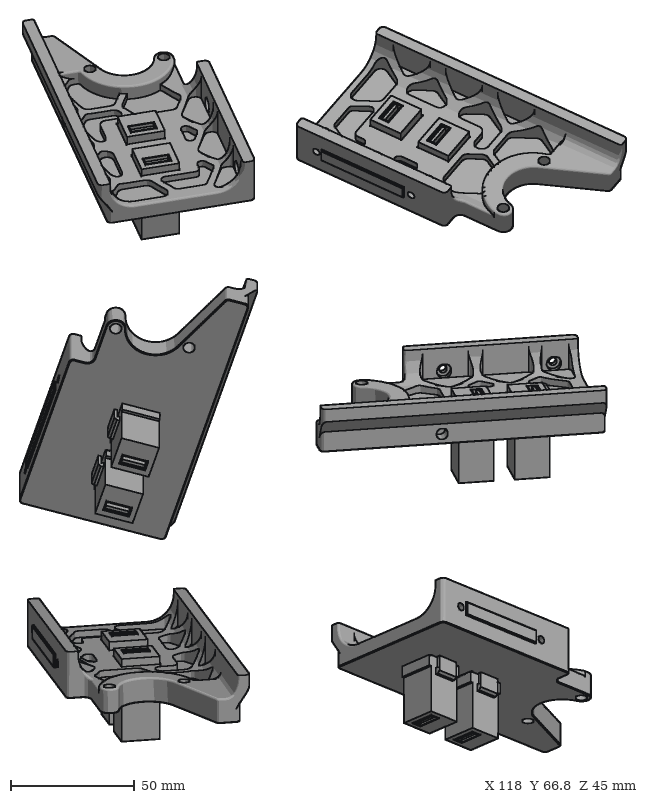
import cadquery as cq
import math

LENGTH = 118.0
WIDTH = 66.0
HEIGHT = 20.0
WALL = 5.1
FLOOR_TOP = 7.0
RAISED_TOP = 10.5
TROUGH_RADIUS = 10.9
ARM_BLEND = 4.5
BLEND_OVERLAP = 1.2
BACK_WALL_START = 45.9
BACK_STEP_RADIUS = 3.2
CORNER_RADIUS = 1.9
RIM_RADIUS = 1.0
BOTTOM_CHAMFER = 0.4

UNDERCUT = 3.9
UNDERCUT_LOW = 8.7
UNDERCUT_HIGH = 14.5

RING_X, RING_Y = 22.3, 36.9
RING_INNER = 12.2
RING_OUTER = 20.5
NOSE_RADIUS = 4.0
EAR_HOLE_DX = 4.4
EAR_HOLE_DIAMETER = 4.7
ARM_CORNER_Y = 13.5
ARM_END = 26.9
ARM_CORNER_FILLET = 1.1

ear_distance = RING_INNER + NOSE_RADIUS
ear_dy = math.sqrt(ear_distance**2 - EAR_HOLE_DX**2)
ear_x = RING_X + EAR_HOLE_DX
nose_y = RING_Y + ear_dy
back_step_y = nose_y + NOSE_RADIUS
front_face = WALL
back_face = WIDTH - WALL

HEX_FLAT = 22.0
HEX_PITCH = 25.0
HEX_X, HEX_Y = 50.4, 40.8
POCKET_RADIUS = 3.0
SMALL_POCKET_RADIUS = 2.0
CRAMPED_POCKETS = ((1, 0), (2, 0), (2, 1))
POCKET_WALL_OVERRUN = 0.4
POCKET_FLOOR = 4.1
POCKET_RIGHT = 114.8
PAD_LEFT, PAD_RIGHT = 58.0, 101.7
PAD_FRONT, PAD_BACK = 16.4, 47.3
hex_row_pitch = HEX_PITCH * math.sqrt(3) / 2
hex_corner_diameter = HEX_FLAT * 2 / math.sqrt(3)

SCREW_X = (62.4, 107.9)
SCREW_Z = 9.9
SCREW_DIAMETER = 3.2
SCREW_HEAD_DIAMETER = 6.0
SCREW_HEAD_DEPTH = 2.4
LABEL_LENGTH, LABEL_HEIGHT, LABEL_THICKNESS = 39.5, 5.9, 0.8
LABEL_X = 85.5
LABEL_CHAMFER = 0.4
FRONT_HOLE_X, FRONT_HOLE_Z = HEX_X, 4.4
FRONT_HOLE_DIAMETER = 4.7
FRONT_HOLE_DEPTH = 5.9

INSERT_WIDTH, INSERT_DEPTH = 14.5, 15.9
INSERT_TOP, INSERT_BOTTOM = 10.3, -25.0
INSERT_CORNERS = ((61.1, 23.6), (84.3, 23.4))
SHOULDER_OVERHANG, SHOULDER_HEIGHT = 1.1, 4.7
WINDOW_FRONT, WINDOW_BACK = 23.1, 39.5
WINDOW_SPANS = ((61.1, 76.2), (83.7, 98.8))
LATCH_WIDTH, LATCH_REACH, LATCH_GAP = 9.4, 2.2, 1.0
LATCH_BOTTOM, LATCH_CHAMFER = -7.7, 1.1
SLOT_X, SLOT_Y = 7.4, 2.2
SLOT_WIDTH, SLOT_DEPTH = 4.6, 11.1
LINER_WALL = 0.5
TONGUE_WIDTH, TONGUE_DEPTH = 1.4, 9.7
TONGUE_X, TONGUE_Y = 9.5, 3.0
TONGUE_TOP = 9.9


def box(x0, x1, y0, y1, z0, z1):
    """Box between two values along each axis."""
    return cq.Workplane("XY").box(x1 - x0, y1 - y0, z1 - z0, centered=False).translate((x0, y0, z0))


def ring_point(radius, degrees):
    """Point around the ring centre."""
    angle = math.radians(degrees)
    return (RING_X + radius * math.cos(angle), RING_Y + radius * math.sin(angle))


def outline():
    """Plan outline of the housing, with the ring's bite and the nose on the left."""
    ear_angle = math.degrees(math.atan2(ear_dy, EAR_HOLE_DX))
    to_centre = math.atan2(RING_Y - ARM_CORNER_Y, RING_X)
    half_spread = math.asin(RING_INNER / math.hypot(RING_X, RING_Y - ARM_CORNER_Y))
    tangent_angle = math.degrees(to_centre - half_spread) - 90
    return (
        cq.Workplane("XY")
        .lineTo(LENGTH, 0)
        .lineTo(LENGTH, WIDTH)
        .lineTo(BACK_WALL_START, WIDTH)
        .lineTo(BACK_WALL_START, back_step_y)
        .lineTo(ear_x, back_step_y)
        .threePointArc((ear_x - NOSE_RADIUS, nose_y), ring_point(RING_INNER, ear_angle))
        .threePointArc(
            ring_point(RING_INNER, (ear_angle + tangent_angle) / 2), ring_point(RING_INNER, tangent_angle)
        )
        .lineTo(0, ARM_CORNER_Y)
        .close()
    )


def trough():
    """Space between the side walls above the floor."""
    blend_z = FLOOR_TOP + TROUGH_RADIUS
    corner = TROUGH_RADIUS * (1 - math.sqrt(0.5))
    return (
        cq.Workplane("YZ")
        .moveTo(front_face, HEIGHT)
        .lineTo(front_face, blend_z)
        .threePointArc(
            (front_face + corner, FLOOR_TOP + corner), (front_face + TROUGH_RADIUS, FLOOR_TOP)
        )
        .lineTo(back_face - TROUGH_RADIUS, FLOOR_TOP)
        .threePointArc((back_face - corner, FLOOR_TOP + corner), (back_face, blend_z))
        .lineTo(back_face, HEIGHT)
        .close()
        .extrude(LENGTH)
    )


def undercut():
    """Space under the overhanging front wall."""
    return (
        cq.Workplane("YZ")
        .lineTo(UNDERCUT, 0)
        .lineTo(UNDERCUT, UNDERCUT_LOW)
        .lineTo(0, UNDERCUT_HIGH)
        .close()
        .extrude(LENGTH)
    )


def rounded_pocket(prism, floor, radius):
    """Pocket with the plan of the prism, all corners rounded, open upwards from the floor."""
    wire = prism.faces("<Z").wires().val()
    for distance in (-radius, 2 * radius, -radius):
        wire = wire.offset2D(distance)[0]
    pocket = cq.Workplane(cq.Solid.extrudeLinear(wire, [], cq.Vector(0, 0, HEIGHT)))
    return pocket.translate((0, 0, floor))


def hexagon(column, row):
    """Upright hexagonal prism of the honeycomb, a corner pointing along Y."""
    x = HEX_X + (column + (row % 2) / 2) * HEX_PITCH
    y = HEX_Y + row * hex_row_pitch
    return (
        cq.Workplane("XY")
        .center(x, y)
        .transformed(rotate=(0, 0, 90))
        .polygon(6, hex_corner_diameter)
        .extrude(HEIGHT)
    )


def honeycomb():
    """Hexagonal pockets, kept clear of the flat pad, the walls and the right end."""
    pad = box(PAD_LEFT, PAD_RIGHT, PAD_FRONT, PAD_BACK, 0, HEIGHT)
    left_of_end = box(0, POCKET_RIGHT, -WIDTH, back_face + POCKET_WALL_OVERRUN, 0, HEIGHT)
    rows = (
        (1, (0, 1, 2), FLOOR_TOP),
        (0, (0, 1, 2), POCKET_FLOOR),
        (-1, (-1, 0, 1, 2), POCKET_FLOOR),
        (-2, (0, 1, 2), FLOOR_TOP),
    )
    between_walls = box(0, LENGTH, front_face, back_face, 0, 2 * HEIGHT)
    pockets = []
    for row, columns, floor in rows:
        for column in columns:
            prism = hexagon(column, row).intersect(left_of_end).cut(pad)
            radius = SMALL_POCKET_RADIUS if (column, row) in CRAMPED_POCKETS else POCKET_RADIUS
            pockets.append(rounded_pocket(prism, floor, radius).intersect(between_walls))
    return pockets


def outer_block():
    """Full height block with the plan outline, the undercut, rounded corners and a bottom chamfer."""
    block = outline().extrude(HEIGHT)
    step = cq.selectors.NearestToPointSelector((BACK_WALL_START, back_step_y, HEIGHT / 2))
    block = block.edges(step).fillet(BACK_STEP_RADIUS).cut(undercut())
    corners = ((0, 0), (LENGTH, 0), (LENGTH, WIDTH), (BACK_WALL_START, WIDTH), (0, ARM_CORNER_Y))
    margin = 0.1
    for x, y in corners:
        near = cq.selectors.BoxSelector(
            (x - margin, y - margin, 0), (x + margin, y + UNDERCUT + margin, HEIGHT)
        )
        block = block.edges(near).edges("|Z").fillet(CORNER_RADIUS)
    return block.faces("<Z").edges().chamfer(BOTTOM_CHAMFER)


def raised_end():
    """Ring and arm standing above the floor, with rounded top edges."""
    disc = cq.Workplane("XY").center(RING_X, RING_Y).circle(RING_OUTER).extrude(RAISED_TOP)
    arm = box(0, ARM_END, 0, RING_Y, 0, RAISED_TOP)
    ring_contact_y = RING_Y - math.sqrt(RING_OUTER**2 - (ARM_END - RING_X) ** 2)
    inner_corner = cq.selectors.NearestToPointSelector((ARM_END, ring_contact_y, RAISED_TOP / 2))
    block = arm.union(disc).edges(inner_corner).fillet(ARM_CORNER_FILLET)
    block = block.intersect(outer_block())
    return block.faces(">Z").edges().fillet(RIM_RADIUS)


def arm_blend():
    """Concave blend between the arm top and the curved front wall."""
    axis_y = front_face + TROUGH_RADIUS
    axis_z = FLOOR_TOP + TROUGH_RADIUS
    centre_z = RAISED_TOP + ARM_BLEND
    reach = TROUGH_RADIUS - ARM_BLEND
    centre_y = axis_y - math.sqrt(reach**2 - (axis_z - centre_z) ** 2)
    contact = math.atan2(centre_z - axis_z, centre_y - axis_y) % (2 * math.pi) - 2 * math.pi
    middle = (contact - math.pi / 2) / 2

    def on_blend(angle):
        return (centre_y + ARM_BLEND * math.cos(angle), centre_z + ARM_BLEND * math.sin(angle))

    return (
        cq.Workplane("YZ")
        .moveTo(centre_y, RAISED_TOP)
        .threePointArc(on_blend(middle), on_blend(contact))
        .lineTo(front_face - BLEND_OVERLAP, on_blend(contact)[1])
        .lineTo(front_face - BLEND_OVERLAP, RAISED_TOP - BLEND_OVERLAP)
        .lineTo(centre_y, RAISED_TOP - BLEND_OVERLAP)
        .close()
        .extrude(ARM_END - RIM_RADIUS)
    )


def drill_y(x, y, z, diameter, depth):
    """Drill along +Y, starting at the given point."""
    return cq.Workplane("XZ", origin=(x, y, z)).circle(diameter / 2).extrude(-depth)


def trough_rims(body):
    """Round the edges where the trough runs out at the ends and at the back step."""
    margin = 0.06
    regions = (
        ((LENGTH, front_face, FLOOR_TOP), (LENGTH, back_face, HEIGHT)),
        ((0, front_face, RAISED_TOP + 2 * margin), (0, front_face + TROUGH_RADIUS, HEIGHT)),
        ((RING_X, back_step_y, FLOOR_TOP), (BACK_WALL_START, back_face, HEIGHT)),
    )
    for low, high in regions:
        region = cq.selectors.BoxSelector(
            tuple(value - margin for value in low),
            (high[0] + margin, high[1] + margin, high[2] - margin),
        )
        body = body.edges(region).fillet(RIM_RADIUS)
    return body


def drillings():
    """Ear holes, counterbored screw holes of the back wall and the blind hole of the front wall."""
    ear_holes = [
        cq.Workplane("XY", origin=(ear_x, y, 0)).circle(EAR_HOLE_DIAMETER / 2).extrude(HEIGHT)
        for y in (RING_Y - ear_dy, nose_y)
    ]
    screws = []
    for x in SCREW_X:
        screws.append(drill_y(x, back_face, SCREW_Z, SCREW_DIAMETER, WALL))
        screws.append(drill_y(x, back_face, SCREW_Z, SCREW_HEAD_DIAMETER, SCREW_HEAD_DEPTH))
    front_hole = drill_y(
        FRONT_HOLE_X, UNDERCUT, FRONT_HOLE_Z, FRONT_HOLE_DIAMETER, FRONT_HOLE_DEPTH
    )
    return [*ear_holes, *screws, front_hole]


def label_pad():
    """Low raised pad on the outside of the back wall, between the screws."""
    pad = box(
        LABEL_X - LABEL_LENGTH / 2,
        LABEL_X + LABEL_LENGTH / 2,
        WIDTH,
        WIDTH + LABEL_THICKNESS,
        SCREW_Z - LABEL_HEIGHT / 2,
        SCREW_Z + LABEL_HEIGHT / 2,
    )
    return pad.faces(">Y").chamfer(LABEL_CHAMFER)


def make_housing():
    """Tray with honeycomb pockets, the ring end, all holes and the two insert windows."""
    body = trough_rims(outer_block().cut(trough()).union(arm_blend()))
    for pocket in honeycomb():
        body = body.cut(pocket)
    body = body.union(raised_end())
    for drilling in drillings():
        body = body.cut(drilling)
    for left, right in WINDOW_SPANS:
        body = body.cut(box(left, right, WINDOW_FRONT, WINDOW_BACK, 0, HEIGHT))
    return body.union(label_pad())


def make_shell(x, y):
    """Insert body with side shoulders, a latch arm behind it and a slot right through it."""
    right, back = x + INSERT_WIDTH, y + INSERT_DEPTH
    body = box(x, right, y, back, INSERT_BOTTOM, INSERT_TOP)
    shoulder = box(x - SHOULDER_OVERHANG, right + SHOULDER_OVERHANG, y, back, -SHOULDER_HEIGHT, 0)
    latch_left = x + (INSERT_WIDTH - LATCH_WIDTH) / 2
    latch_right = latch_left + LATCH_WIDTH
    latch = box(latch_left, latch_right, back, back + LATCH_REACH, LATCH_BOTTOM, 0)
    latch = latch.edges(">Y and <Z").chamfer(LATCH_CHAMFER)
    latch = latch.cut(box(latch_left, latch_right, back, back + LATCH_GAP, -SHOULDER_HEIGHT, 0))
    slot = box(
        x + SLOT_X,
        x + SLOT_X + SLOT_WIDTH,
        y + SLOT_Y,
        y + SLOT_Y + SLOT_DEPTH,
        INSERT_BOTTOM,
        INSERT_TOP,
    )
    return body.union(shoulder).union(latch).cut(slot)


def make_liner(x, y):
    """Thin sleeve lining the slot."""
    left, front = x + SLOT_X, y + SLOT_Y
    right, back = left + SLOT_WIDTH, front + SLOT_DEPTH
    sleeve = box(left, right, front, back, INSERT_BOTTOM, INSERT_TOP)
    bore = box(
        left + LINER_WALL,
        right - LINER_WALL,
        front + LINER_WALL,
        back - LINER_WALL,
        INSERT_BOTTOM,
        INSERT_TOP,
    )
    return sleeve.cut(bore)


def make_tongue(x, y):
    """Contact strip standing free inside the liner."""
    left, front = x + TONGUE_X, y + TONGUE_Y
    return box(left, left + TONGUE_WIDTH, front, front + TONGUE_DEPTH, INSERT_BOTTOM, TONGUE_TOP)


bodies = [make_housing().solids().val()]
for corner_x, corner_y in INSERT_CORNERS:
    bodies.append(make_shell(corner_x, corner_y).solids().val())
    bodies.append(make_liner(corner_x, corner_y).solids().val())
    bodies.append(make_tongue(corner_x, corner_y).solids().val())

result = cq.Compound.makeCompound(bodies)